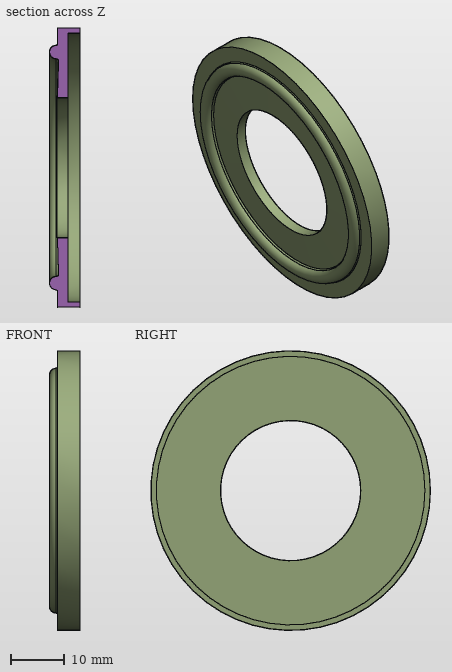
import cadquery as cq

outer_diameter = 52.5
bore_diameter = 26.25
total_width = 5.8
bead_height = 1.5
bead_outer_diameter = 46.0
bead_width = 2.55
foot_flare = 0.15
bore_lead = 0.05
web_sink = 0.15
bore_length = 2.05
rim_wall = 1.05

outer_radius = outer_diameter / 2
bore_radius = bore_diameter / 2
rim_inner_radius = outer_radius - rim_wall
rim_width = total_width - bead_height
bead_outer_radius = bead_outer_diameter / 2
bead_inner_radius = bead_outer_radius - bead_width
bead_middle_radius = bead_outer_radius - bead_width / 2
bead_round_start = bead_width / 2 - bead_height
web_back = bore_length - bore_lead

section = (
    cq.Workplane("XY")
    .moveTo(-bore_lead, bore_radius)
    .lineTo(web_sink, bead_inner_radius - foot_flare)
    .lineTo(bead_round_start, bead_inner_radius)
    .threePointArc((-bead_height, bead_middle_radius), (bead_round_start, bead_outer_radius))
    .lineTo(0, bead_outer_radius + foot_flare)
    .lineTo(0, outer_radius)
    .lineTo(rim_width, outer_radius)
    .lineTo(rim_width, rim_inner_radius)
    .lineTo(web_back, rim_inner_radius)
    .lineTo(web_back, bore_radius)
    .close()
)

result = section.revolve(360, (0, 0, 0), (1, 0, 0))